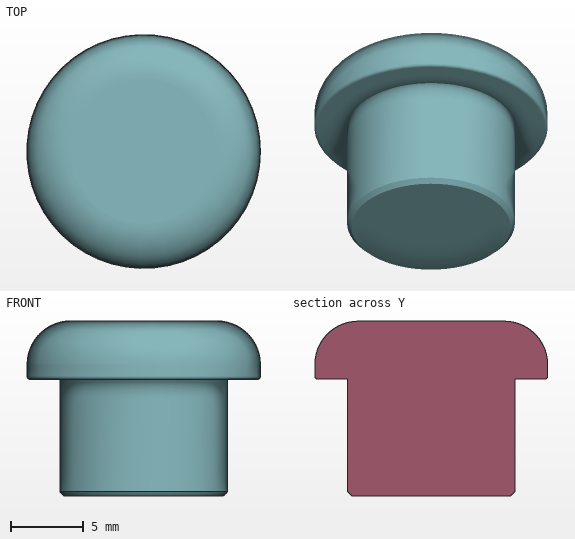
import cadquery as cq

HEAD_DIAMETER = 16.0
HEAD_HEIGHT = 4.0
HEAD_TOP_FILLET = 3.0
HEAD_RIM_FILLET = 0.2

SHANK_DIAMETER = 11.5
SHANK_LENGTH = 8.0
SHANK_END_CHAMFER = 0.3


def make_head():
    """Disc resting on Z = 0, with a large top round and a small lower rim round."""
    disc = cq.Workplane("XY").circle(HEAD_DIAMETER / 2).extrude(HEAD_HEIGHT)
    rounded_top = disc.faces(">Z").edges().fillet(HEAD_TOP_FILLET)
    return rounded_top.faces("<Z").edges().fillet(HEAD_RIM_FILLET)


def make_shank():
    """Cylinder hanging below the head, with a chamfered free end."""
    cylinder = cq.Workplane("XY").circle(SHANK_DIAMETER / 2).extrude(-SHANK_LENGTH)
    return cylinder.faces("<Z").edges().chamfer(SHANK_END_CHAMFER)


result = make_head().union(make_shank())